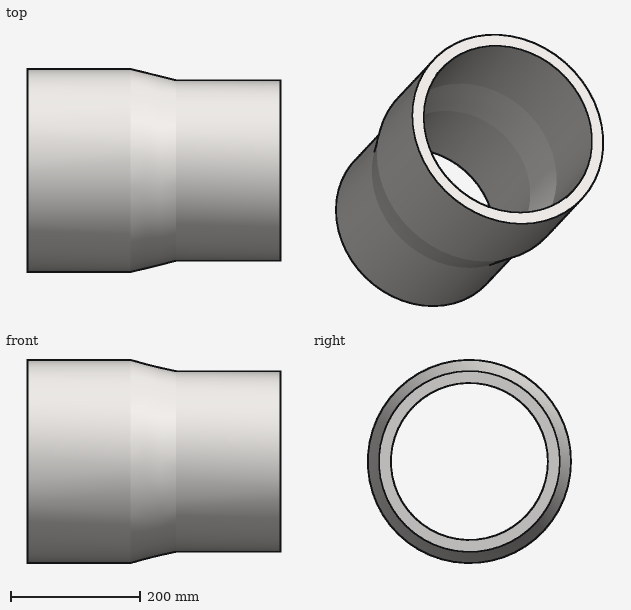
import cadquery as cq

total_length = 392.0
wide_length = 159.5
taper_length = 70.5
wide_outer_diameter = 315.0
narrow_outer_diameter = 280.0
wide_bore_diameter = 277.6
narrow_bore_diameter = 242.6

wide_end_x = -total_length / 2
taper_start_x = wide_end_x + wide_length
taper_end_x = taper_start_x + taper_length
narrow_end_x = total_length / 2


def stepped_body(wide_diameter, narrow_diameter):
    """Solid of revolution: wide cylinder, cone, then narrow cylinder."""
    wide_radius = wide_diameter / 2
    narrow_radius = narrow_diameter / 2
    half_profile = (
        cq.Workplane("XY")
        .moveTo(wide_end_x, 0)
        .lineTo(wide_end_x, wide_radius)
        .lineTo(taper_start_x, wide_radius)
        .lineTo(taper_end_x, narrow_radius)
        .lineTo(narrow_end_x, narrow_radius)
        .lineTo(narrow_end_x, 0)
        .close()
    )
    return half_profile.revolve(360, (0, 0, 0), (1, 0, 0))


outer_body = stepped_body(wide_outer_diameter, narrow_outer_diameter)
bore = stepped_body(wide_bore_diameter, narrow_bore_diameter)

result = outer_body.cut(bore)